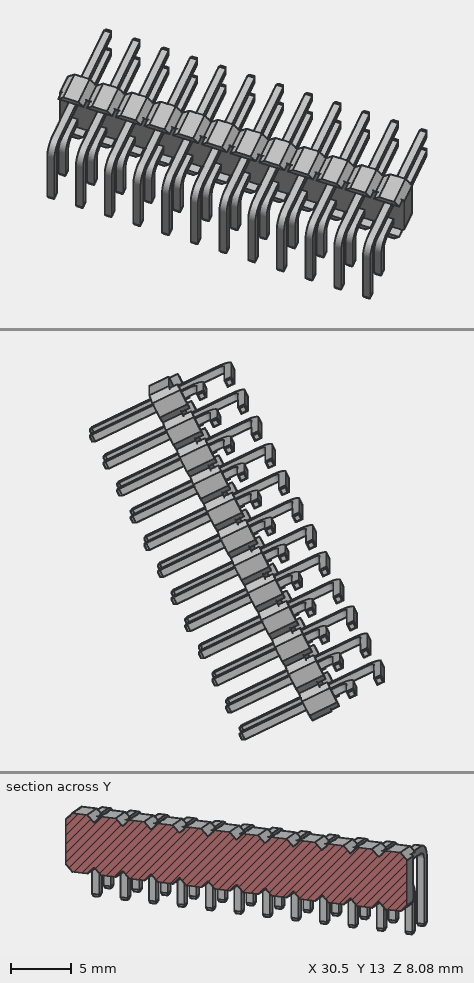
import cadquery as cq


pitch = 2.54
columns = 12
rows = 2

pin_width = 0.64
mating_length = 5.98
tail_drop = 3.0
overall_depth = 13.04
bend_inner_radius = pin_width
tip_length = 0.25
tip_inset = 0.1

wall_depth = 1.78
lip_thickness = 0.45
corner_chamfer = 0.6

length = columns * pitch
height = rows * pitch
housing_depth = pitch
pin_half = pin_width / 2
bend_outer_radius = bend_inner_radius + pin_width
tail_bottom = -height / 2 - tail_drop
long_tail_y = mating_length + pin_half - overall_depth
column_positions = [(i - (columns - 1) / 2) * pitch for i in range(columns)]

pin_rows = [
    (pitch / 2, long_tail_y),
    (-pitch / 2, long_tail_y + pitch),
]


def housing_segment(x):
    """One octagonal cell of the housing, two pins tall."""
    block = cq.Workplane("XY").box(pitch, housing_depth, height)
    block = block.edges("|Y").chamfer(corner_chamfer)
    return block.translate((x, -housing_depth / 2, 0))


def make_housing():
    """Row of cells, hollowed in front to leave the wall and the two lips."""
    body = housing_segment(column_positions[0])
    for x in column_positions[1:]:
        body = body.union(housing_segment(x))
    recess_depth = housing_depth - wall_depth
    recess = cq.Workplane("XY").box(length, recess_depth, height - 2 * lip_thickness)
    return body.cut(recess.translate((0, -wall_depth - recess_depth / 2, 0)))


def tapered_tip(plane):
    """Truncated-pyramid pin tip, growing from the plane along its normal."""
    end_width = pin_width - 2 * tip_inset
    return (
        cq.Workplane(plane)
        .rect(pin_width, pin_width)
        .workplane(offset=tip_length)
        .rect(end_width, end_width)
        .loft(ruled=True)
    )


def make_pin(leg_z, tail_y):
    """Square pin at X = 0 with a rounded right-angle bend and two tapered tips."""
    mating_shoulder = mating_length - tip_length
    tail_shoulder = tail_bottom + tip_length
    top = leg_z + pin_half
    underside = leg_z - pin_half
    outside = tail_y - pin_half
    inside = tail_y + pin_half
    bend_y = inside + bend_inner_radius
    bend_z = underside - bend_inner_radius
    shank = (
        cq.Workplane("YZ", origin=(-pin_half, 0, 0))
        .moveTo(mating_shoulder, top)
        .lineTo(bend_y, top)
        .radiusArc((outside, bend_z), -bend_outer_radius)
        .lineTo(outside, tail_shoulder)
        .lineTo(inside, tail_shoulder)
        .lineTo(inside, bend_z)
        .radiusArc((bend_y, underside), bend_inner_radius)
        .lineTo(mating_shoulder, underside)
        .close()
        .extrude(pin_width)
    )
    mating_plane = cq.Plane(origin=(0, mating_shoulder, leg_z), xDir=(1, 0, 0), normal=(0, 1, 0))
    tail_plane = cq.Plane(origin=(0, tail_y, tail_shoulder), xDir=(1, 0, 0), normal=(0, 0, -1))
    return shank.union(tapered_tip(mating_plane)).union(tapered_tip(tail_plane))


result = make_housing()
for leg_z, tail_y in pin_rows:
    pin = make_pin(leg_z, tail_y)
    for x in column_positions:
        result = result.union(pin.translate((x, 0, 0)))